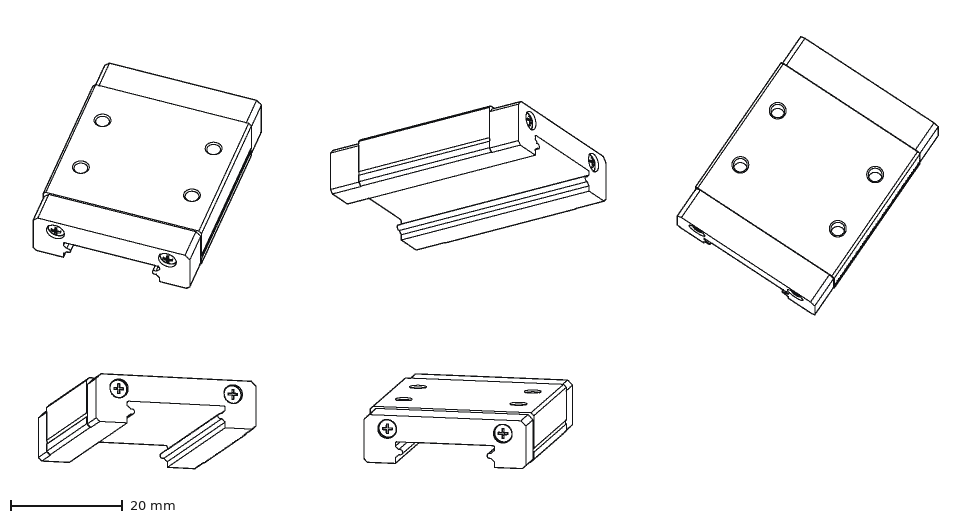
import cadquery as cq
import math

WIDTH = 30.0
LENGTH = 39.7
HEIGHT = 9.1

BLOCK_LENGTH = 27.6
BLOCK_TOP_CHAMFER = 0.5
BOTTOM_CHAMFER = 0.65

CAP_HEIGHT = 8.75
CAP_WIDTH = 29.7
CAP_TOP_CHAMFER = 0.9

CHANNEL_WIDTH = 18.2
CHANNEL_HEIGHT = 3.97
CHANNEL_CORNER_RADIUS = 0.3

LIP_Z = 2.1
LIP_RADIUS = 0.48
LIP_REACH = 1.35
LIP_ROOT_HEIGHT = 2.15
LIP_ROOT_REACH = 0.65

GROOVE_Z = 2.25
GROOVE_WIDTH = 0.7
GROOVE_DEPTH = 0.2

HOLE_SPACING_X = 21.05
HOLE_SPACING_Y = 12.0
HOLE_DIAMETER = 2.45
HOLE_MOUTH_DIAMETER = 3.0
HOLE_DEPTH = 3.57
DRILL_POINT_ANGLE = 118.0

SCREW_SPACING = 21.2
SCREW_Z = 6.25
RECESS_DIAMETER = 3.37
RECESS_DEPTH = 0.7
HEAD_DIAMETER = 3.2
HEAD_HEIGHT = 0.67
CROSS_LENGTH = 1.75
CROSS_WIDTH = 0.35
CROSS_DEPTH = 0.5


def chamfered_bar(width, height, length, top_chamfer):
    """Bar along Y, standing on Z = 0, with its four long edges chamfered."""
    bar = cq.Workplane("XY").box(width, length, height, centered=(True, True, False))
    bar = bar.edges("|Y and >Z").chamfer(top_chamfer)
    return bar.edges("|Y and <Z").chamfer(BOTTOM_CHAMFER)


def rail_channel():
    channel = cq.Workplane("XY").box(CHANNEL_WIDTH, LENGTH, CHANNEL_HEIGHT, centered=(True, True, False))
    return channel.edges("|Y and >Z").fillet(CHANNEL_CORNER_RADIUS)


def left_lip():
    """Lip on the -X leg: a tapered root that carries a round-nosed tongue."""
    leg_x = -CHANNEL_WIDTH / 2
    root_half = LIP_ROOT_HEIGHT / 2
    return (
        cq.Workplane("XZ", origin=(leg_x, LENGTH / 2, LIP_Z))
        .moveTo(0, -root_half)
        .lineTo(LIP_ROOT_REACH, -LIP_RADIUS)
        .lineTo(LIP_REACH - LIP_RADIUS, -LIP_RADIUS)
        .threePointArc((LIP_REACH, 0), (LIP_REACH - LIP_RADIUS, LIP_RADIUS))
        .lineTo(LIP_ROOT_REACH, LIP_RADIUS)
        .lineTo(0, root_half)
        .close()
        .extrude(LENGTH)
    )


def left_side_groove():
    """Round-bottomed groove cutter for the -X side of the block."""
    half = GROOVE_WIDTH / 2
    radius = (half**2 + GROOVE_DEPTH**2) / (2 * GROOVE_DEPTH)
    center_x = -WIDTH / 2 + GROOVE_DEPTH - radius
    return (
        cq.Workplane("XZ", origin=(0, BLOCK_LENGTH / 2, 0))
        .center(center_x, GROOVE_Z)
        .circle(radius)
        .extrude(BLOCK_LENGTH)
    )


def mounting_hole():
    """Cutter with a 45 degree mouth and a drill point, its axis on Z and its mouth at Z = 0."""
    radius = HOLE_DIAMETER / 2
    mouth_radius = HOLE_MOUTH_DIAMETER / 2
    point_length = radius / math.tan(math.radians(DRILL_POINT_ANGLE / 2))
    profile = [
        (0, 0),
        (mouth_radius, 0),
        (radius, radius - mouth_radius),
        (radius, -HOLE_DEPTH),
        (0, -HOLE_DEPTH - point_length),
    ]
    return cq.Workplane("XZ").polyline(profile).close().revolve(360, (0, 0), (0, 1))


def front_screw_recess():
    """Cutter at the -Y end face, its axis on Y, that leaves a domed screw head on the recess floor."""
    face_y = -LENGTH / 2
    floor_y = face_y + RECESS_DEPTH
    dome_y = floor_y - HEAD_HEIGHT
    recess_radius = RECESS_DIAMETER / 2
    head_radius = HEAD_DIAMETER / 2
    return (
        cq.Workplane("XY")
        .moveTo(0, face_y)
        .lineTo(recess_radius, face_y)
        .lineTo(recess_radius, floor_y)
        .lineTo(head_radius, floor_y)
        .threePointArc(dome_midpoint(head_radius, dome_y), (0, dome_y))
        .close()
        .revolve(360, (0, 0), (0, 1))
    )


def dome_midpoint(head_radius, dome_y):
    """Point halfway along the dome arc from its rim to its top."""
    sphere_radius = (head_radius**2 + HEAD_HEIGHT**2) / (2 * HEAD_HEIGHT)
    half_angle = math.asin(head_radius / sphere_radius) / 2
    x = sphere_radius * math.sin(half_angle)
    y = dome_y + sphere_radius * (1 - math.cos(half_angle))
    return (x, y)


def front_cross_slot():
    """Cross-shaped cutter that reaches from the -Y end face down into a screw head."""
    depth = RECESS_DEPTH - HEAD_HEIGHT + CROSS_DEPTH
    base = cq.Workplane("XZ", origin=(0, depth - LENGTH / 2, 0))
    flat_arm = base.rect(CROSS_LENGTH, CROSS_WIDTH).extrude(depth)
    upright_arm = base.rect(CROSS_WIDTH, CROSS_LENGTH).extrude(depth)
    return flat_arm.union(upright_arm)


carriage = chamfered_bar(WIDTH, HEIGHT, BLOCK_LENGTH, BLOCK_TOP_CHAMFER)
carriage = carriage.union(chamfered_bar(CAP_WIDTH, CAP_HEIGHT, LENGTH, CAP_TOP_CHAMFER))
carriage = carriage.cut(rail_channel())
carriage = carriage.union(left_lip()).union(left_lip().mirror("YZ"))

carriage = carriage.cut(left_side_groove()).cut(left_side_groove().mirror("YZ"))

for x_side in (-1, 1):
    screw_position = (x_side * SCREW_SPACING / 2, 0, SCREW_Z)
    for screw_cutter in (front_screw_recess(), front_cross_slot()):
        placed_cutter = screw_cutter.translate(screw_position)
        carriage = carriage.cut(placed_cutter).cut(placed_cutter.mirror("XZ"))
    for y_side in (-1, 1):
        hole_position = (x_side * HOLE_SPACING_X / 2, y_side * HOLE_SPACING_Y / 2, HEIGHT)
        carriage = carriage.cut(mounting_hole().translate(hole_position))

result = carriage.solids()